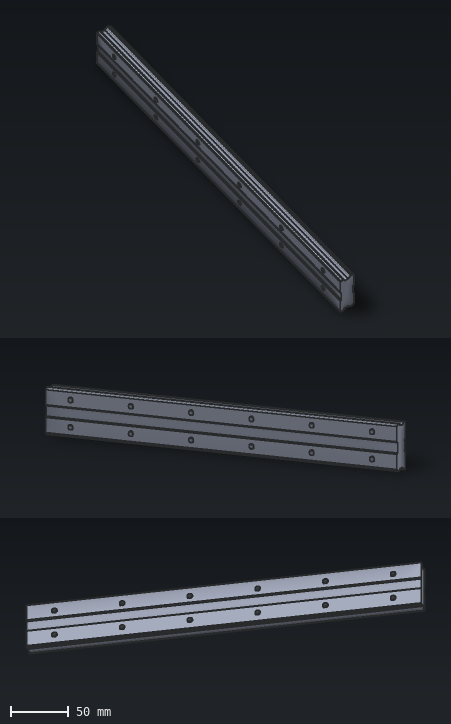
import cadquery as cq

length = 350.0
thickness = 15.0
height = 42.0
front = -thickness / 2
back = thickness / 2
edge = height / 2

recess_depth = 1.0
recess_floor_half = 4.5
recess_mouth_half = 5.5

front_chamfer = 0.7
front_land_end = 3.0
groove_floor_start = 5.0
groove_floor_end = 8.5
crest_start = 10.0
crest_flat_start = 11.5
crest_flat_end = 12.5
crest_end = 13.5
groove_depth = 2.0
back_chamfer_height = 2.0
crest_rise = 0.88

hole_diameter = 4.5
hole_count = 6
hole_end_margin = 25.0
hole_pitch = (length - 2 * hole_end_margin) / (hole_count - 1)
hole_row_spacing = 24.0


def make_upper_half():
    """Upper half of the (Y, Z) section, drawn from front to back and extruded along X."""
    return (
        cq.Workplane("YZ")
        .moveTo(front + recess_depth, 0)
        .lineTo(front + recess_depth, recess_floor_half)
        .lineTo(front, recess_mouth_half)
        .lineTo(front, edge - front_chamfer)
        .lineTo(front + front_chamfer, edge)
        .lineTo(front + front_land_end, edge)
        .lineTo(front + groove_floor_start, edge - groove_depth)
        .lineTo(front + groove_floor_end, edge - groove_depth)
        .lineTo(front + crest_start, edge - crest_rise)
        .lineTo(front + crest_flat_start, edge)
        .lineTo(front + crest_flat_end, edge)
        .lineTo(front + crest_end, edge - crest_rise)
        .lineTo(back, edge - back_chamfer_height)
        .lineTo(back, recess_mouth_half)
        .lineTo(back - recess_depth, recess_floor_half)
        .lineTo(back - recess_depth, 0)
        .close()
        .extrude(length / 2, both=True)
    )


def make_rail():
    """Join the upper half to its mirror image below mid-height."""
    upper_half = make_upper_half()
    return upper_half.union(upper_half.mirror("XY")).clean()


def make_holes():
    """Cylinders running through the full thickness along Y."""
    return (
        cq.Workplane("XZ")
        .rarray(hole_pitch, hole_row_spacing, hole_count, 2)
        .circle(hole_diameter / 2)
        .extrude(thickness, both=True)
    )


result = make_rail().cut(make_holes())